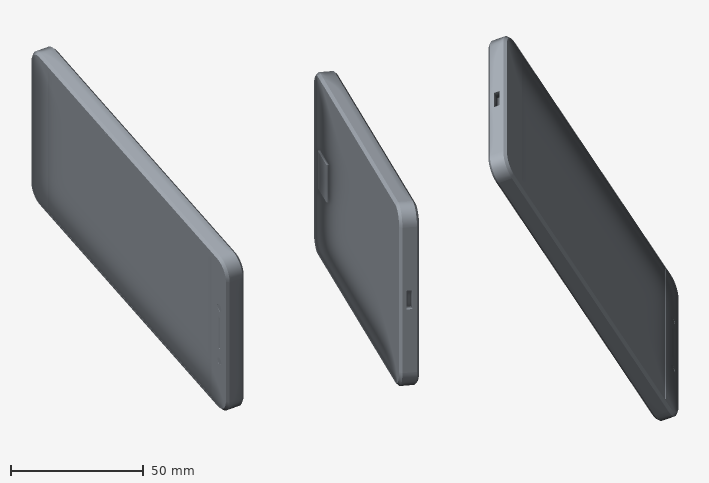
import cadquery as cq

length = 151.5
height = 74.0
overall_depth = 8.6
camera_rise = 0.9
thickness = overall_depth - camera_rise
corner_radius = 7.5
chamfer_size = 1.0

recess_depth = 0.08

screen_length = 125.5
screen_height = 70.0
screen_center_x = 0.9

earpiece_x = 69.7
earpiece_z = 0.8
earpiece_width = 1.4
earpiece_height = 15.2
sensor_diameter = 3.0
sensor_offset = 13.0

port_width = 2.3
port_height = 7.5
port_depth = 3.0

camera_side = 15.2
camera_x = 56.0

front_y = -thickness / 2
back_y = thickness / 2


def make_body():
    """Rounded slab with both face outlines chamfered."""
    slab = (
        cq.Workplane("XZ", origin=(0, back_y, 0))
        .rect(length, height)
        .extrude(thickness)
        .edges("|Y")
        .fillet(corner_radius)
    )
    return slab.faces("<Y or >Y").edges().chamfer(chamfer_size)


def front_pocket(center_x, center_z, width, tall, depth):
    """Cutter for a rectangular pocket sunk into the front face."""
    return (
        cq.Workplane("XZ", origin=(center_x, front_y + depth, center_z))
        .rect(width, tall)
        .extrude(depth)
    )


def sensor_recesses():
    """Cutter for the two round sensor recesses beside the earpiece."""
    return (
        cq.Workplane("XZ", origin=(earpiece_x, front_y + recess_depth, 0))
        .pushPoints([(0, -sensor_offset), (0, sensor_offset)])
        .circle(sensor_diameter / 2)
        .extrude(recess_depth)
    )


def charging_port():
    """Cutter for the port, running inward from the -X end."""
    return (
        cq.Workplane("YZ", origin=(-length / 2, 0, 0))
        .rect(port_width, port_height)
        .extrude(port_depth)
    )


def camera_plate():
    """Square plate standing proud of the back face."""
    return (
        cq.Workplane("XZ", origin=(camera_x, back_y + camera_rise, 0))
        .rect(camera_side, camera_side)
        .extrude(camera_rise)
    )


result = (
    make_body()
    .union(camera_plate())
    .cut(front_pocket(screen_center_x, 0, screen_length, screen_height, recess_depth))
    .cut(front_pocket(earpiece_x, earpiece_z, earpiece_width, earpiece_height, recess_depth))
    .cut(sensor_recesses())
    .cut(charging_port())
)